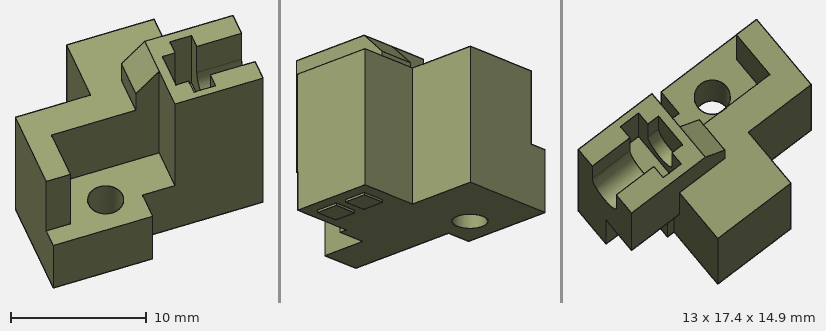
import cadquery as cq

body_height = 10.91
ledge_height = 5.05
side_block_front, side_block_back = 5.93, 12.84
front_block_left, front_block_right = 5.05, 13.0
front_block_back = 7.85
wall_inner_face = 7.56
front_wall_thickness = 1.9
front_wall_right = 11.52

post_left, post_right = 4.55, 10.86
post_front, post_back = 10.4, 17.35
post_height = 14.71
rib_front = 8.55
rib_shoulder = post_height - (post_front - rib_front)

channel_width = 2.85
channel_center_x = 7.77
channel_center_z = 11.62
channel_front = 11.1
nut_width = 5.05
nut_slot_front, nut_slot_back = 12.11, 13.81

hole_diameter = 2.65
hole_x, hole_y = 10.32, 5.14

relief_height = 5.76
relief_step_y = 13.46
relief_shallow_depth = 0.62

foot_height = 0.19
foot_size = 1.95
foot_center_x = 1.98
foot_centers_y = (7.95, 10.81)


def block(x_range, y_range, z_range):
    """Rectangular block between the given limits on each axis."""
    sizes = [high - low for low, high in (x_range, y_range, z_range)]
    corner = (x_range[0], y_range[0], z_range[0])
    return cq.Workplane("XY").box(*sizes, centered=False).translate(corner)


def make_body():
    side_block = block((0, wall_inner_face), (side_block_front, side_block_back), (0, body_height))
    front_ledge = block((front_block_left, front_block_right), (0, front_block_back), (0, ledge_height))
    rear_ledge = block((post_left, post_right), (side_block_front, post_front), (0, ledge_height))
    left_wall = block((front_block_left, wall_inner_face), (0, side_block_back), (0, body_height))
    front_wall = block((front_block_left, front_wall_right), (0, front_wall_thickness), (0, body_height))
    return side_block.union(front_ledge).union(rear_ledge).union(left_wall).union(front_wall)


def make_post():
    post = block((post_left, post_right), (post_front, post_back), (0, post_height))
    rib = (
        cq.Workplane("YZ", origin=(post_left, 0, 0))
        .moveTo(rib_front, 0)
        .lineTo(rib_front, rib_shoulder)
        .lineTo(post_front, post_height)
        .lineTo(post_front, 0)
        .close()
        .extrude(wall_inner_face - post_left)
    )
    return post.union(rib)


def make_screw_channel():
    """Round-bottomed channel open at the top and back, crossed by a deeper nut slot."""
    channel_left = channel_center_x - channel_width / 2
    channel_right = channel_center_x + channel_width / 2
    channel_bottom = (channel_center_x, channel_center_z - channel_width / 2)
    channel = (
        cq.Workplane("XZ", origin=(0, channel_front, 0))
        .moveTo(channel_left, post_height)
        .lineTo(channel_left, channel_center_z)
        .threePointArc(channel_bottom, (channel_right, channel_center_z))
        .lineTo(channel_right, post_height)
        .close()
        .extrude(channel_front - post_back)
    )
    nut_slot = block(
        (channel_center_x - nut_width / 2, channel_center_x + nut_width / 2),
        (nut_slot_front, nut_slot_back),
        (channel_center_z - nut_width / 2, post_height),
    )
    return channel.union(nut_slot)


def make_relief():
    shallow = block(
        (post_left, post_left + relief_shallow_depth), (side_block_back, relief_step_y), (0, relief_height)
    )
    deep = block((post_left, wall_inner_face), (relief_step_y, post_back), (0, relief_height))
    return shallow.union(deep)


def make_feet():
    centers = [(foot_center_x, y) for y in foot_centers_y]
    return cq.Workplane("XY").pushPoints(centers).rect(foot_size, foot_size).extrude(-foot_height)


mounting_hole = cq.Workplane("XY").center(hole_x, hole_y).circle(hole_diameter / 2).extrude(body_height)

result = (
    make_body()
    .union(make_post())
    .cut(make_screw_channel())
    .cut(make_relief())
    .cut(mounting_hole)
    .union(make_feet())
)